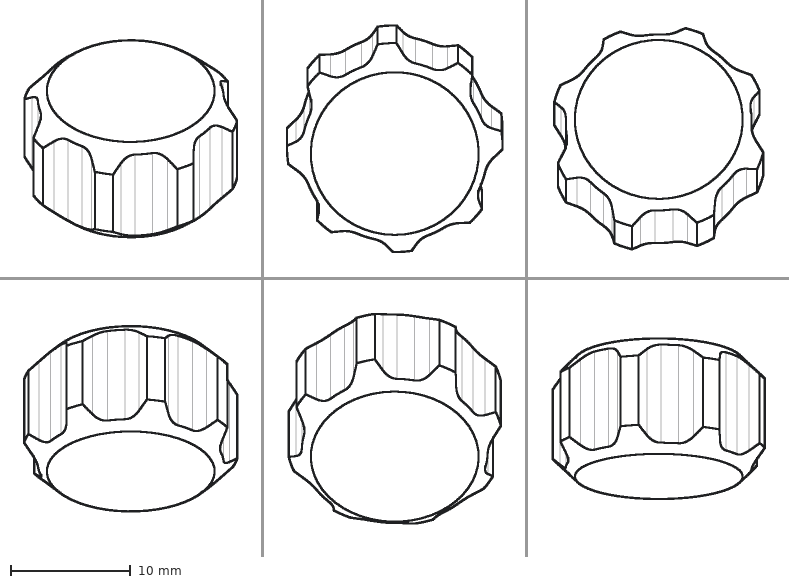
import cadquery as cq
import math

outer_radius = 9.0
height = 10.0
rim_chamfer = 2.0

tooth_count = 8
tooth_half_angle = 5.0
flank_angle = 32.0
root_radius = 7.75
root_fillet = 1.8
pattern_turn = 0.35

tooth_inner_x = 0.8 * root_radius
tooth_outer_x = outer_radius + 0.18


def make_blank():
    """Solid disc with both rims chamfered."""
    disc = cq.Workplane("XY").circle(outer_radius).extrude(height)
    return disc.faces("<Z or >Z").edges().chamfer(rim_chamfer)


def make_tooth(angle):
    """Tapered tooth whose middle line points along the given angle."""
    edge_x = outer_radius * math.cos(math.radians(tooth_half_angle))
    edge_y = outer_radius * math.sin(math.radians(tooth_half_angle))
    taper = math.tan(math.radians(flank_angle))
    inner_y = edge_y + taper * (edge_x - tooth_inner_x)
    outer_y = edge_y - taper * (tooth_outer_x - edge_x)
    outline = [
        (tooth_inner_x, -inner_y),
        (tooth_outer_x, -outer_y),
        (tooth_outer_x, outer_y),
        (tooth_inner_x, inner_y),
    ]
    tooth = cq.Workplane("XY").polyline(outline).close().extrude(height)
    return tooth.rotate((0, 0, 0), (0, 0, 1), angle)


def make_grip():
    """Round core with teeth, blended into the core by concave fillets."""
    grip = cq.Workplane("XY").circle(root_radius).extrude(height)
    for index in range(tooth_count):
        grip = grip.union(make_tooth(pattern_turn + index * 360.0 / tooth_count))

    tip_limit = (root_radius + outer_radius) / 2
    root_edges = grip.edges("|Z").filter(
        lambda edge: math.hypot(edge.Center().x, edge.Center().y) < tip_limit
    )
    return root_edges.fillet(root_fillet)


result = make_blank().intersect(make_grip())